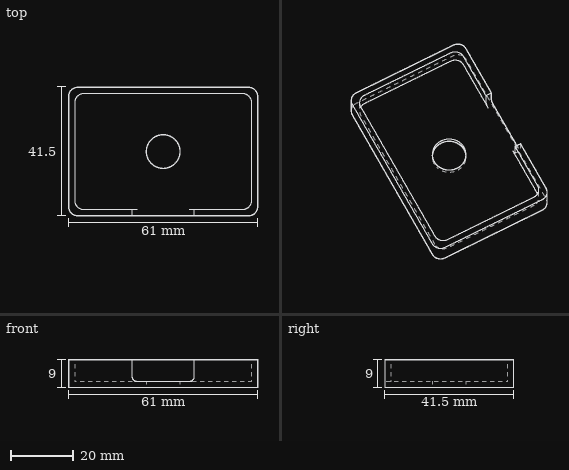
import cadquery as cq

length = 61.0
width = 41.5
height = 9.0
wall = 2.0
floor = 2.0
outer_corner_radius = 3.0
inner_corner_radius = 3.0

hole_diameter = 10.8

notch_width = 20.0
notch_corner_radius = 1.5


def rounded_block(size_x, size_y, size_z, radius):
    """Block standing on Z = 0 with rounded vertical edges."""
    block = cq.Workplane("XY").box(size_x, size_y, size_z, centered=(True, True, False))
    return block.edges("|Z").fillet(radius)


def make_cavity():
    cavity = rounded_block(length - 2 * wall, width - 2 * wall, height - floor, inner_corner_radius)
    return cavity.translate((0, 0, floor))


def make_notch():
    """Cutter through the front wall with rounded lower corners."""
    notch = cq.Workplane("XY").box(notch_width, wall, height - floor, centered=(True, True, False))
    notch = notch.edges("|Y and <Z").fillet(notch_corner_radius)
    return notch.translate((0, (wall - width) / 2, floor))


def make_hole():
    return cq.Workplane("XY").circle(hole_diameter / 2).extrude(floor)


tray = rounded_block(length, width, height, outer_corner_radius)
result = tray.cut(make_cavity()).cut(make_notch()).cut(make_hole())